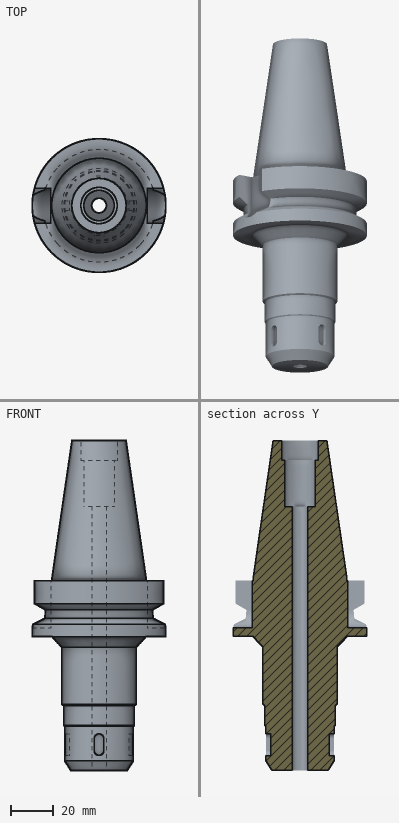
import cadquery as cq

total_height = 155.4
taper_bottom = 90.3
flange_top = 89.4
groove_top = 78.6
groove_floor_top = 75.7
groove_floor_bottom = 71.6
groove_bottom = 68.8
flange_bottom = 63.1
neck_cone_bottom = 58.1
body_bottom = 31.2
collar_bottom = 21.3
nose_chamfer = 4.7

taper_small_radius = 12.7
taper_large_radius = 22.2
flange_diameter = 63.0
flange_radius = flange_diameter / 2
groove_radius = 26.5
body_radius = 17.5
collar_radius = 16.6
nose_radius = 16.2
nose_end_radius = 13.2
step_chamfer = 0.6

key_width = 16.5
key_floor_offset = 22.7
key_bottom = 67.3

nose_slot_count = 4
nose_slot_width = 4.5
nose_slot_length = 10.1
nose_slot_height = 12.3
nose_slot_depth = 2.2

entry_radius = 8.5
entry_depth = 9.3
middle_radius = 7.1
middle_depth = 31.1
through_radius = 3.4


def revolved_body():
    """Taper, grooved flange, body and nose in one turned profile."""
    return (
        cq.Workplane("XZ")
        .polyline([
            (0, 0),
            (nose_end_radius, 0),
            (nose_radius, nose_chamfer),
            (nose_radius, collar_bottom - (collar_radius - nose_radius)),
            (collar_radius, collar_bottom),
            (collar_radius, body_bottom - step_chamfer),
            (body_radius, body_bottom),
            (body_radius, neck_cone_bottom),
            (taper_large_radius, flange_bottom),
            (flange_radius, flange_bottom),
            (flange_radius, groove_bottom),
            (groove_radius, groove_floor_bottom),
            (groove_radius, groove_floor_top),
            (flange_radius, groove_top),
            (flange_radius, flange_top),
            (taper_large_radius, flange_top),
            (taper_large_radius, taper_bottom),
            (taper_small_radius, total_height),
            (0, total_height),
        ])
        .close()
        .revolve(360, (0, 0, 0), (0, 1, 0))
    )


def drive_keyway():
    """Round-bottomed cutter for the keyway on the +X side."""
    arc_radius = key_width / 2
    arc_height = key_bottom + arc_radius
    return (
        cq.Workplane("YZ", origin=(key_floor_offset, 0, 0))
        .moveTo(-arc_radius, flange_top)
        .lineTo(-arc_radius, arc_height)
        .threePointArc((0, key_bottom), (arc_radius, arc_height))
        .lineTo(arc_radius, flange_top)
        .close()
        .extrude(flange_radius - key_floor_offset)
    )


def nose_slot():
    """Upright obround cutter for the nose slot on the +X side."""
    return (
        cq.Workplane("YZ", origin=(nose_radius - nose_slot_depth, 0, nose_slot_height))
        .slot2D(nose_slot_length, nose_slot_width, 90)
        .extrude(2 * nose_slot_depth)
    )


def axial_bore():
    """Through hole with two wider steps at the taper end."""
    bore = cq.Workplane("XY").circle(through_radius).extrude(total_height)
    for radius, depth in ((middle_radius, middle_depth), (entry_radius, entry_depth)):
        step = cq.Workplane("XY", origin=(0, 0, total_height - depth)).circle(radius).extrude(depth)
        bore = bore.union(step)
    return bore


result = revolved_body().cut(axial_bore())
for angle in (0, 180):
    result = result.cut(drive_keyway().rotate((0, 0, 0), (0, 0, 1), angle))
for index in range(nose_slot_count):
    angle = index * 360 / nose_slot_count
    result = result.cut(nose_slot().rotate((0, 0, 0), (0, 0, 1), angle))